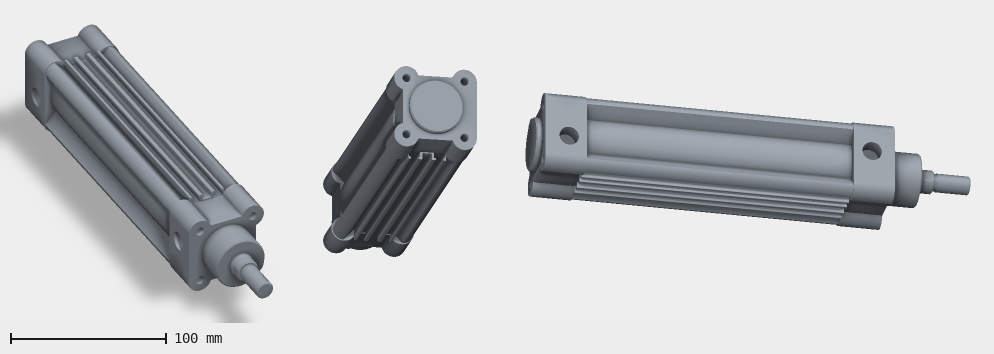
import cadquery as cq
import math


cap_length = 27.0
end_boss_length = 3.7
barrel_start = end_boss_length + cap_length
barrel_length = 175.7
front_cap_start = barrel_start + barrel_length
front_cap_end = front_cap_start + cap_length
rod_start = 253.7
rod_tip = 288.0

cap_size = 54.0
cap_half = cap_size / 2
bolt_offset = 19.0
cap_corner_radius = cap_half - bolt_offset
cap_flat = 21.3
boss_radius = 17.5
boss_chamfer = 1.0
bolt_hole_diameter = 5.0
bolt_countersink_diameter = 6.0
port_diameter = 12.7
port_depth = 11.5
port_height = 5.0
end_port_inset = 11.5
front_port_inset = 15.0

tube_radius = 22.2
lobe_radius = cap_corner_radius - 0.72
lobe_half_width = 4.78
fin_top = 26.35
lip_bottom = 24.8
slot_floor = 20.7
inner_fin_face = 3.2
inner_fin_slot_face = 4.5
inner_lip_edge = 5.8
outer_lip_edge = 10.7
outer_fin_slot_face = 11.8
outer_fin_face = 12.5
fin_tip_radius = 0.3
root_radius = 1.0

collar_radius = 8.0
collar_end = 256.0
wrench_radius = 7.63
wrench_start = 257.0
wrench_end = 263.8
wrench_flat_offset = 7.05
wrench_chamfer = 1.0
neck_radius = 5.62
neck_end = 266.0
thread_radius = 6.0
tip_chamfer = 1.0

corner_signs = [(y, z) for y in (-1, 1) for z in (-1, 1)]
bolt_points = [(y * bolt_offset, z * bolt_offset) for y, z in corner_signs]


def section_at(x):
    """Workplane across the axis whose local axes are Y and Z."""
    return cq.Workplane("YZ", origin=(x, 0, 0))


def cap_body(x):
    """Block with round corner lobes, its -Y side filled out to a flat port face."""
    core = (
        section_at(x)
        .center((cap_flat - bolt_offset) / 2, 0)
        .rect(cap_flat + bolt_offset, 2 * cap_flat)
        .extrude(cap_length)
    )
    port_side = (
        section_at(x)
        .center(-(cap_half + bolt_offset) / 2, 0)
        .rect(cap_half - bolt_offset, 2 * bolt_offset)
        .extrude(cap_length)
    )
    lobes = section_at(x).pushPoints(bolt_points).circle(cap_corner_radius).extrude(cap_length)
    return core.union(port_side).union(lobes)


def boss(base_x, length):
    """Centring boss growing from base_x by a signed length, chamfered at its free end."""
    free_end = ">X" if length > 0 else "<X"
    return section_at(base_x).circle(boss_radius).extrude(length).faces(free_end).chamfer(boss_chamfer)


def bolt_holes(outer_x, inward):
    """Countersunk holes running from the outer cap face through the cap; inward is +1 or -1 along X."""
    countersink_depth = (bolt_countersink_diameter - bolt_hole_diameter) / 2
    holes = (
        section_at(outer_x)
        .pushPoints(bolt_points)
        .circle(bolt_hole_diameter / 2)
        .extrude(inward * cap_length)
    )
    direction = cq.Vector(inward, 0, 0)
    for y, z in bolt_points:
        cone = cq.Solid.makeCone(
            bolt_countersink_diameter / 2,
            bolt_hole_diameter / 2,
            countersink_depth,
            cq.Vector(outer_x, y, z),
            direction,
        )
        holes = holes.union(cq.Workplane(cone))
    return holes


def port(x, z):
    """Air port drilled into the -Y face."""
    return (
        cq.Workplane("XZ", origin=(x, -cap_half, z))
        .circle(port_diameter / 2)
        .extrude(-port_depth)
    )


def make_end_cap():
    cap = cap_body(end_boss_length).union(boss(end_boss_length, -end_boss_length))
    cap = cap.cut(bolt_holes(end_boss_length, 1))
    return cap.cut(port(barrel_start - end_port_inset, -port_height))


def make_front_cap():
    cap = cap_body(front_cap_start).union(boss(front_cap_end, rod_start - front_cap_end))
    cap = cap.cut(bolt_holes(front_cap_end, -1))
    return cap.cut(port(front_cap_end - front_port_inset, port_height))


def barrel_lobe(angle):
    """Corner rib with parallel sides along a diagonal and a round outer end."""
    centre = bolt_offset * math.sqrt(2)
    shoulder = centre + math.sqrt(lobe_radius**2 - lobe_half_width**2)
    return (
        section_at(barrel_start)
        .moveTo(0, -lobe_half_width)
        .lineTo(shoulder, -lobe_half_width)
        .threePointArc((centre + lobe_radius, 0), (shoulder, lobe_half_width))
        .lineTo(0, lobe_half_width)
        .close()
        .extrude(barrel_length)
        .rotate((0, 0, 0), (1, 0, 0), angle)
    )


def sensor_rail():
    """Upper +Y rail: two facing hooked fins with the floor of the undercut slot between them."""
    outline = [
        (inner_fin_face, 0),
        (inner_fin_face, fin_top),
        (inner_lip_edge, fin_top),
        (inner_lip_edge, lip_bottom),
        (inner_fin_slot_face, lip_bottom),
        (inner_fin_slot_face, slot_floor),
        (outer_fin_slot_face, slot_floor),
        (outer_fin_slot_face, lip_bottom),
        (outer_lip_edge, lip_bottom),
        (outer_lip_edge, fin_top),
        (outer_fin_face, fin_top),
        (outer_fin_face, 0),
    ]
    rail = section_at(barrel_start).polyline(outline).close().extrude(barrel_length)
    return rail.faces(">Z").edges("|X").fillet(fin_tip_radius)


def slot_space():
    """Clear space above the floor of the upper +Y slot, where the round tube would stand proud."""
    width = outer_fin_slot_face - inner_fin_slot_face
    height = lip_bottom - slot_floor
    return (
        section_at(barrel_start)
        .center(inner_fin_slot_face + width / 2, slot_floor + height / 2)
        .rect(width, height)
        .extrude(barrel_length)
    )


def inner_fin_roots(barrel):
    """Edges along X where the facing sides of the inner fins meet the round tube."""
    return barrel.edges("|X").filter(
        lambda edge: abs(edge.Center().y) < inner_fin_face + fin_tip_radius / 2
        and abs(edge.Center().z) < lip_bottom
    )


def in_all_quadrants(body):
    """The body together with its mirror images across the XY and XZ planes."""
    upper = body.union(body.mirror("XZ"))
    return upper.union(upper.mirror("XY"))


def make_barrel():
    barrel = section_at(barrel_start).circle(tube_radius).extrude(barrel_length)
    for angle in (45, 135, 225, 315):
        barrel = barrel.union(barrel_lobe(angle))
    barrel = barrel.union(in_all_quadrants(sensor_rail()))
    barrel = barrel.cut(in_all_quadrants(slot_space()))
    return inner_fin_roots(barrel).fillet(root_radius)


def make_rod():
    profile = [
        (rod_start, 0),
        (rod_start, collar_radius),
        (collar_end, collar_radius),
        (wrench_start, wrench_radius),
        (wrench_end - wrench_chamfer, wrench_radius),
        (wrench_end, wrench_radius - wrench_chamfer),
        (wrench_end, neck_radius),
        (neck_end, neck_radius),
        (neck_end, thread_radius),
        (rod_tip - tip_chamfer, thread_radius),
        (rod_tip, thread_radius - tip_chamfer),
        (rod_tip, 0),
    ]
    rod = cq.Workplane("XY").polyline(profile).close().revolve(360, (0, 0, 0), (1, 0, 0))
    flat_length = wrench_end - wrench_start
    for side in (-1, 1):
        flat = cq.Workplane("XY").box(flat_length, collar_radius, 2 * collar_radius).translate(
            (wrench_start + flat_length / 2, side * (wrench_flat_offset + collar_radius / 2), 0)
        )
        rod = rod.cut(flat)
    return rod


end_cap = make_end_cap()
barrel = make_barrel()
front_cap = make_front_cap()
piston_rod = make_rod()

result = cq.Compound.makeCompound(
    [end_cap.val(), barrel.val(), front_cap.val(), piston_rod.val()]
)